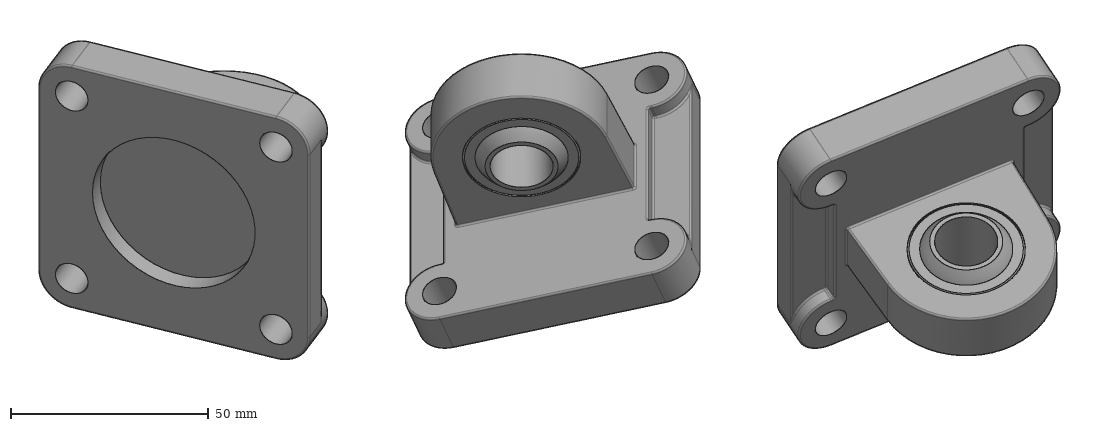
import cadquery as cq
import math


plate_side = 75.0
plate_thickness = 12.0
hole_spacing = 56.5
hole_diameter = 9.0
corner_radius = (plate_side - hole_spacing) / 2
recess_diameter = 45.0
recess_depth = 5.0
edge_fillet = 0.5

relief_floor = 8.0
relief_wall_x = hole_spacing / 2 - 2 * edge_fillet
floor_overlap = 4.0

eye_y = 32.0
lug_radius = 23.0
lug_thickness = 15.0
lug_foot_width = 47.5

race_diameter = 30.0
race_chamfer = 0.5
ball_diameter = 28.0
ball_width = 21.0
ball_bore = 16.0

select_margin = 0.1


def corner_points():
    half = hole_spacing / 2
    return [(x, z) for x in (-half, half) for z in (-half, half)]


def along_y(start):
    """XZ workplane at Y = start, extruding toward +Y, with local x = -X and local y = Z."""
    return cq.Workplane(cq.Plane(origin=(0, start, 0), xDir=(-1, 0, 0), normal=(0, 1, 0)))


def box_about(center, half_size):
    """Selector for edges whose centre lies in a box, with a small margin on every side."""
    low = tuple(c - h - select_margin for c, h in zip(center, half_size))
    high = tuple(c + h + select_margin for c, h in zip(center, half_size))
    return cq.selectors.BoxSelector(low, high)


def make_slab():
    """Full-size rounded square up to the relief floors."""
    slab = along_y(0).rect(plate_side, plate_side).extrude(relief_floor)
    slab = slab.edges("|Y").fillet(corner_radius)
    return slab.faces("<Y or >Y").edges().fillet(edge_fillet)


def make_boss_layer():
    """Plate behind the relief floors: four round corner bosses joined by a narrower web."""
    edge = plate_side / 2
    boss = hole_spacing / 2
    boss_inner = boss - corner_radius
    bend_start_x = relief_wall_x + edge_fillet
    wall_end_z = boss_inner - edge_fillet
    start = relief_floor - floor_overlap
    outline = along_y(start).moveTo(-boss, edge)
    for turn in (1, -1):
        outline = (
            outline.lineTo(turn * boss, turn * edge)
            .radiusArc((turn * edge, turn * boss), corner_radius)
            .radiusArc((turn * boss, turn * boss_inner), corner_radius)
            .lineTo(turn * bend_start_x, turn * boss_inner)
            .radiusArc((turn * relief_wall_x, turn * wall_end_z), -edge_fillet)
            .lineTo(turn * relief_wall_x, -turn * wall_end_z)
            .radiusArc((turn * bend_start_x, -turn * boss_inner), -edge_fillet)
            .lineTo(turn * boss, -turn * boss_inner)
            .radiusArc((turn * edge, -turn * boss), corner_radius)
            .radiusArc((turn * boss, -turn * edge), corner_radius)
        )
    layer = outline.close().extrude(plate_thickness - start)
    return layer.faces(">Y").edges().fillet(edge_fillet)


def make_plate():
    plate = make_slab().union(make_boss_layer())
    wall_feet = box_about(
        (0, relief_floor, 0),
        (plate_side / 2 - 2 * edge_fillet, 0, hole_spacing / 2),
    )
    return plate.edges(wall_feet).fillet(edge_fillet)


def make_lug():
    half_foot = lug_foot_width / 2
    foot_drop = eye_y - plate_thickness
    foot_distance = math.hypot(half_foot, foot_drop)
    tangent_angle = math.acos(lug_radius / foot_distance) - math.atan2(foot_drop, half_foot)
    tangent_x = lug_radius * math.cos(tangent_angle)
    tangent_y = eye_y + lug_radius * math.sin(tangent_angle)
    lug = (
        cq.Workplane("XY")
        .workplane(offset=-lug_thickness / 2)
        .moveTo(-half_foot, plate_thickness)
        .lineTo(half_foot, plate_thickness)
        .lineTo(tangent_x, tangent_y)
        .threePointArc((0, eye_y + lug_radius), (-tangent_x, tangent_y))
        .close()
        .extrude(lug_thickness)
    )
    return lug.faces("<Z or >Z").edges("not(<Y)").fillet(edge_fillet)


def eye_cylinder(diameter, length):
    """Cylinder on the eye axis, centred on Z = 0."""
    return cq.Workplane("XY").center(0, eye_y).circle(diameter / 2).extrude(length / 2, both=True)


def make_flange():
    flange = make_plate().union(make_lug())
    lug_foot = box_about(
        (0, plate_thickness, 0),
        (lug_foot_width / 2, 0, lug_thickness / 2),
    )
    flange = flange.edges(lug_foot).fillet(edge_fillet)
    holes = along_y(0).pushPoints(corner_points()).circle(hole_diameter / 2).extrude(plate_thickness)
    recess = along_y(0).circle(recess_diameter / 2).extrude(recess_depth)
    race_seat = eye_cylinder(race_diameter, lug_thickness)
    return flange.cut(holes).cut(recess).cut(race_seat)


def make_sphere():
    return cq.Workplane("XY").sphere(ball_diameter / 2).translate((0, eye_y, 0))


def make_race():
    race = eye_cylinder(race_diameter, lug_thickness)
    race = race.faces("<Z or >Z").edges().chamfer(race_chamfer)
    return race.cut(make_sphere())


def make_ball():
    sleeve = eye_cylinder(ball_diameter, ball_width).cut(eye_cylinder(ball_bore, ball_width))
    return make_sphere().intersect(sleeve)


flange = make_flange()
race = make_race()
ball = make_ball()

result = cq.Compound.makeCompound([flange.val(), race.val(), ball.val()])